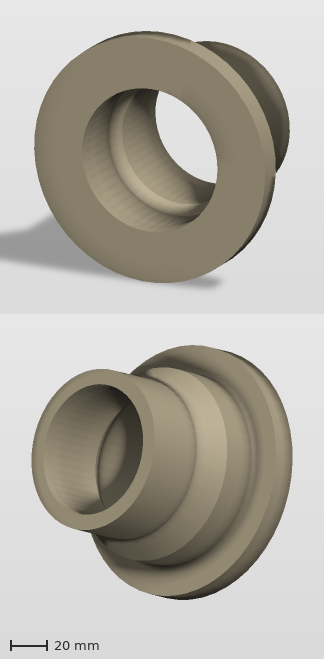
import cadquery as cq
import math


length = 87.0
flange_thickness = 14.0
hub_end = 36.4
spigot_start = 52.0
bore_taper_start = 35.1
bore_taper_end = 43.1

flange_diameter = 140.0
hub_diameter = 108.0
spigot_diameter = 90.0
wide_bore_diameter = 82.0
narrow_bore_diameter = 72.8

root_fillet = 3.0

flange_radius = flange_diameter / 2
hub_radius = hub_diameter / 2
spigot_radius = spigot_diameter / 2
wide_bore_radius = wide_bore_diameter / 2
narrow_bore_radius = narrow_bore_diameter / 2

fillet_mid = root_fillet * (1 - math.sqrt(0.5))

half_section = (
    cq.Workplane("YZ")
    .moveTo(0, wide_bore_radius)
    .lineTo(0, flange_radius)
    .lineTo(flange_thickness, flange_radius)
    .lineTo(flange_thickness, hub_radius + root_fillet)
    .threePointArc(
        (flange_thickness + fillet_mid, hub_radius + fillet_mid),
        (flange_thickness + root_fillet, hub_radius),
    )
    .lineTo(hub_end, hub_radius)
    .lineTo(spigot_start, spigot_radius)
    .lineTo(length, spigot_radius)
    .lineTo(length, narrow_bore_radius)
    .lineTo(bore_taper_end, narrow_bore_radius)
    .lineTo(bore_taper_start, wide_bore_radius)
    .close()
)

result = half_section.revolve(360, (0, 0, 0), (1, 0, 0))